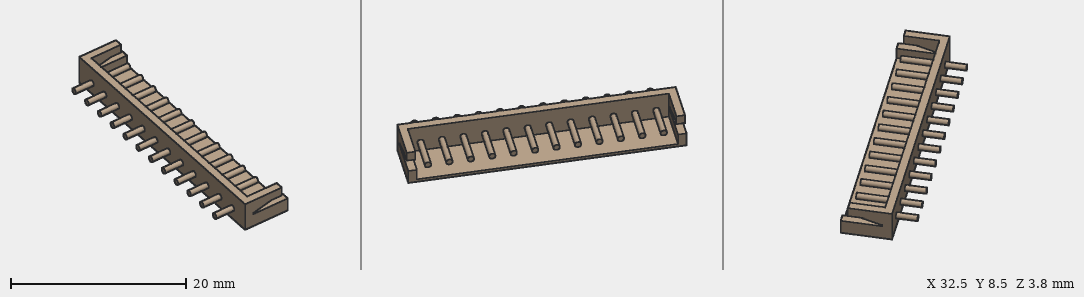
import cadquery as cq

length = 32.5
depth = 6.0
height = 3.8
wall = 1.0
floor = 0.4

slot_bottom = 1.8
slot_top = 2.63
slot_tip_height = 0.15
slot_tip_y = 1.17
taper_start_y = 3.7
upper_arm_setback = 0.85

pin_count = 12
pin_pitch = 2.5
pin_diameter = 0.75
pin_height = 1.6
pin_protrusion = 2.5
pin_setback = 0.85


def make_shroud():
    """Tray with a front wall and two end walls, open at the back and the top."""
    block = cq.Workplane("XY").box(length, depth, height, centered=(True, False, False))
    cavity = (
        cq.Workplane("XY")
        .box(length - 2 * wall, depth - wall, height - floor, centered=(True, False, False))
        .translate((0, wall, floor))
    )
    return block.cut(cavity)


def make_end_wall_cut():
    """Tapered latch slot, with the arm above it ending short of the back edge."""
    return (
        cq.Workplane("YZ", origin=(-length / 2, 0, 0))
        .moveTo(slot_tip_y, slot_bottom)
        .lineTo(depth, slot_bottom)
        .lineTo(depth, height)
        .lineTo(depth - upper_arm_setback, height)
        .lineTo(depth - upper_arm_setback, slot_top)
        .lineTo(taper_start_y, slot_top)
        .lineTo(slot_tip_y, slot_bottom + slot_tip_height)
        .close()
        .extrude(length)
    )


def make_pins():
    """Row of round pins through the front wall."""
    pin_length = pin_protrusion + depth - pin_setback
    return (
        cq.Workplane("XZ", origin=(0, -pin_protrusion, pin_height))
        .rarray(pin_pitch, 0.32, pin_count, 1)
        .circle(pin_diameter / 2)
        .extrude(-pin_length)
    )


result = make_shroud().cut(make_end_wall_cut()).union(make_pins())